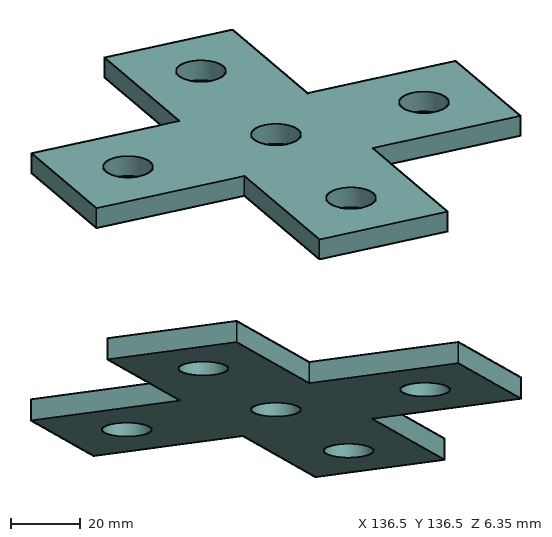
import cadquery as cq

arm_width = 41.275
hole_pitch = 47.625
hole_diameter = 14.2875
thickness = 6.35

span = 2 * hole_pitch + arm_width


def cross_plate():
    """Flat plate made of two equal bars crossing at right angles."""
    bar_along_x = cq.Workplane("XY").rect(span, arm_width).extrude(thickness)
    bar_along_y = cq.Workplane("XY").rect(arm_width, span).extrude(thickness)
    return bar_along_x.union(bar_along_y).clean()


def bolt_holes():
    """Through holes at the centre and on each of the four arms."""
    centres = [
        (0, 0),
        (hole_pitch, 0),
        (-hole_pitch, 0),
        (0, hole_pitch),
        (0, -hole_pitch),
    ]
    return cq.Workplane("XY").pushPoints(centres).circle(hole_diameter / 2).extrude(thickness)


result = cross_plate().cut(bolt_holes())